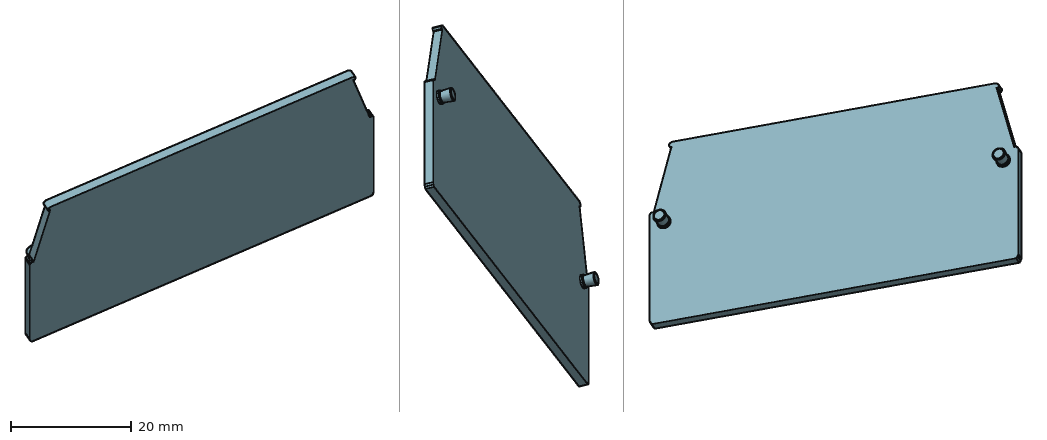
import cadquery as cq

total_depth = 4.12
width = 65.0
height = 34.5

plate_thickness = 1.6

corner_inset = 0.4
corner_rise = 0.7
corner_middle_inset = 0.15
corner_middle_rise = 0.3

shoulder_height = 21.58
shoulder_width = 0.75
shoulder_corner_inset = 0.4
shoulder_corner_drop = 0.5
shoulder_middle_inset = 0.12
shoulder_middle_drop = 0.2

flank_top_inset = 3.85
nose_inset = 3.38
nose_width = 0.7
nose_drop = 0.55
nose_bulge = 0.08
nose_lip_inset = 0.2
nose_lip_height = 0.38

peg_spacing = 59.8
peg_height = 19.22
peg_length = total_depth - plate_thickness
tip_face_radius = 0.9
tip_radius = 1.12
tip_chamfer_length = 0.12
tip_land = 0.25
waist_radius = 1.0
collar_radius = 1.16
collar_length = 0.35
collar_flare = 0.2


def make_half_plate():
    """The +Y half of the plate, with its pegged face at x = 0."""
    side = width / 2
    nose_tip = (side - nose_inset, height - nose_drop)
    nose_top = (nose_tip[0] - nose_width, height)
    nose_middle = (
        (nose_tip[0] + nose_top[0]) / 2 + nose_bulge,
        (nose_tip[1] + nose_top[1]) / 2 + nose_bulge,
    )
    nose_underside = nose_tip[1] - nose_lip_height

    outline = (
        cq.Workplane("YZ")
        .lineTo(side - corner_inset, 0)
        .lineTo(side - corner_middle_inset, corner_middle_rise)
        .lineTo(side, corner_rise)
        .lineTo(side, shoulder_height - shoulder_corner_drop)
        .lineTo(side - shoulder_middle_inset, shoulder_height - shoulder_middle_drop)
        .lineTo(side - shoulder_corner_inset, shoulder_height)
        .lineTo(side - shoulder_width, shoulder_height)
        .lineTo(side - flank_top_inset, nose_underside)
        .lineTo(nose_tip[0] - nose_lip_inset, nose_underside)
        .lineTo(*nose_tip)
        .threePointArc(nose_middle, nose_top)
        .lineTo(0, height)
        .close()
    )
    return outline.extrude(plate_thickness)


def make_plate():
    """Whole plate, symmetric about the XZ plane."""
    half = make_half_plate()
    return half.union(half.mirror("XZ")).clean()


def make_peg(y_position):
    """Waisted peg turned about an axis along X, standing on the face at x = 0."""
    tip_end = -peg_length
    tip_edge = tip_end + tip_chamfer_length
    root = plate_thickness / 2
    profile = [
        (root, 0),
        (root, collar_radius),
        (-collar_length, collar_radius),
        (-collar_length - collar_flare, waist_radius),
        (tip_edge + tip_land, tip_radius),
        (tip_edge, tip_radius),
        (tip_end, tip_face_radius),
        (tip_end, 0),
    ]
    peg = cq.Workplane("XY").polyline(profile).close().revolve(360, (0, 0, 0), (1, 0, 0))
    return peg.translate((0, y_position, peg_height))


result = make_plate()
for direction in (-1, 1):
    result = result.union(make_peg(direction * peg_spacing / 2))